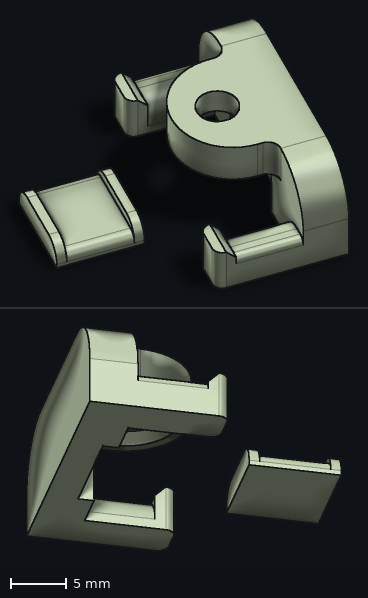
import cadquery as cq


WIDTH = 25.5
HEIGHT = 10.0
BLOCK_DEPTH = 4.5
SIDE_HEIGHT = 4.5
SHOULDER_RADIUS = HEIGHT - SIDE_HEIGHT

LUG_THICKNESS = 4.0
LUG_UNDERSIDE = HEIGHT - LUG_THICKNESS
LUG_RADIUS = 6.0
LUG_ARC_REACH = 6.25
LUG_FILLET = 1.25
HOLE_DIAMETER = 4.0
HOLE_REACH = 7.75

CAVITY_BACK_REACH = 3.0
CAVITY_WALL = 1.0
CAVITY_RADIUS = LUG_RADIUS - CAVITY_WALL
CAVITY_LUG_DEPTH = 1.5
CAVITY_CEILING = LUG_UNDERSIDE + CAVITY_LUG_DEPTH

ARM_WIDTH = 4.0
ARM_REACH = 13.0
TIP_HEIGHT = SIDE_HEIGHT
TIP_THICKNESS = 1.0
TIP_FILLET = TIP_THICKNESS
RAMP_SIZE = 1.0
ARM_HEIGHT = TIP_HEIGHT - RAMP_SIZE
ARM_OUTER_RADIUS = 0.75
ARM_INNER_RADIUS = 2.5

CLIP_WIDTH = 9.2
CLIP_LENGTH = 8.6
CLIP_FRONT_REACH = 25.3
CLIP_HEIGHT = 2.5
CLIP_EDGE_HEIGHT = 0.5
CLIP_FLANGE = 1.0
CLIP_FLANGE_RISE = 1.0
CLIP_FLOOR_HEIGHT = CLIP_HEIGHT - CLIP_FLANGE_RISE


def rounded_bar(width, height, radius, back_reach, length):
    """Bar along -Y with a flat base and two rounded upper edges."""
    bar = cq.Workplane("XY").box(width, length, height, centered=(True, False, False))
    bar = bar.edges("|Y and >Z").fillet(radius)
    return bar.translate((0, -back_reach - length, 0))


def make_lug():
    """Lug with a semicircular nose and concave fillets into the block."""
    half_root = LUG_RADIUS + LUG_FILLET
    fillet_end = -BLOCK_DEPTH - LUG_FILLET
    return (
        cq.Workplane("XY", origin=(0, 0, LUG_UNDERSIDE))
        .moveTo(-half_root, -BLOCK_DEPTH)
        .radiusArc((-LUG_RADIUS, fillet_end), LUG_FILLET)
        .lineTo(-LUG_RADIUS, -LUG_ARC_REACH)
        .threePointArc((0, -LUG_ARC_REACH - LUG_RADIUS), (LUG_RADIUS, -LUG_ARC_REACH))
        .lineTo(LUG_RADIUS, fillet_end)
        .radiusArc((half_root, -BLOCK_DEPTH), LUG_FILLET)
        .close()
        .extrude(LUG_THICKNESS)
    )


def make_arm():
    """Left arm: a rounded beam ending in a ramped hook."""
    outer_x = -WIDTH / 2
    tip_back = ARM_REACH - TIP_THICKNESS
    ramp_start = tip_back - RAMP_SIZE
    beam_length = ramp_start - BLOCK_DEPTH
    beam = (
        cq.Workplane("XY")
        .box(ARM_WIDTH, beam_length, ARM_HEIGHT, centered=False)
        .translate((outer_x, -ramp_start, 0))
    )
    beam = beam.edges("|Y and >Z and <X").fillet(ARM_OUTER_RADIUS)
    beam = beam.edges("|Y and >Z and >X").fillet(ARM_INNER_RADIUS)
    hook = (
        cq.Workplane("YZ", origin=(outer_x, 0, 0))
        .moveTo(-ramp_start, 0)
        .lineTo(-ramp_start, ARM_HEIGHT)
        .lineTo(-tip_back, TIP_HEIGHT)
        .lineTo(-ARM_REACH, TIP_HEIGHT)
        .lineTo(-ARM_REACH, 0)
        .close()
        .extrude(ARM_WIDTH)
    )
    hook = hook.edges("|Z and <Y").fillet(TIP_FILLET)
    return beam.union(hook)


def make_cavity():
    """Round-nosed recess cut upwards into the block and the lug."""
    return (
        cq.Workplane("XY")
        .moveTo(-CAVITY_RADIUS, -CAVITY_BACK_REACH)
        .lineTo(-CAVITY_RADIUS, -LUG_ARC_REACH)
        .threePointArc((0, -LUG_ARC_REACH - CAVITY_RADIUS), (CAVITY_RADIUS, -LUG_ARC_REACH))
        .lineTo(CAVITY_RADIUS, -CAVITY_BACK_REACH)
        .close()
        .extrude(CAVITY_CEILING)
    )


def make_bracket():
    block = rounded_bar(WIDTH, HEIGHT, SHOULDER_RADIUS, 0, BLOCK_DEPTH)
    arm = make_arm()
    hole = cq.Workplane("XY", origin=(0, -HOLE_REACH, 0)).circle(HOLE_DIAMETER / 2).extrude(HEIGHT)
    body = block.union(make_lug()).cut(make_cavity()).cut(hole)
    return body.union(arm).union(arm.mirror("YZ"))


def make_clip():
    """Low plate with a raised flange at its front and back."""
    back_reach = CLIP_FRONT_REACH - CLIP_LENGTH
    flange_radius = CLIP_HEIGHT - CLIP_EDGE_HEIGHT
    floor_radius = CLIP_FLOOR_HEIGHT - CLIP_EDGE_HEIGHT
    clip = rounded_bar(CLIP_WIDTH, CLIP_FLOOR_HEIGHT, floor_radius, back_reach, CLIP_LENGTH)
    for reach in (back_reach, CLIP_FRONT_REACH - CLIP_FLANGE):
        flange = rounded_bar(CLIP_WIDTH, CLIP_HEIGHT, flange_radius, reach, CLIP_FLANGE)
        trim = (
            cq.Workplane("XY")
            .box(CLIP_WIDTH, CLIP_FLANGE, CLIP_HEIGHT, centered=(True, False, False))
            .translate((0, -reach - CLIP_FLANGE, 0))
        )
        clip = clip.cut(trim).union(flange)
    return clip


bracket = make_bracket()
clip = make_clip()

result = cq.Compound.makeCompound([bracket.val(), clip.val()])